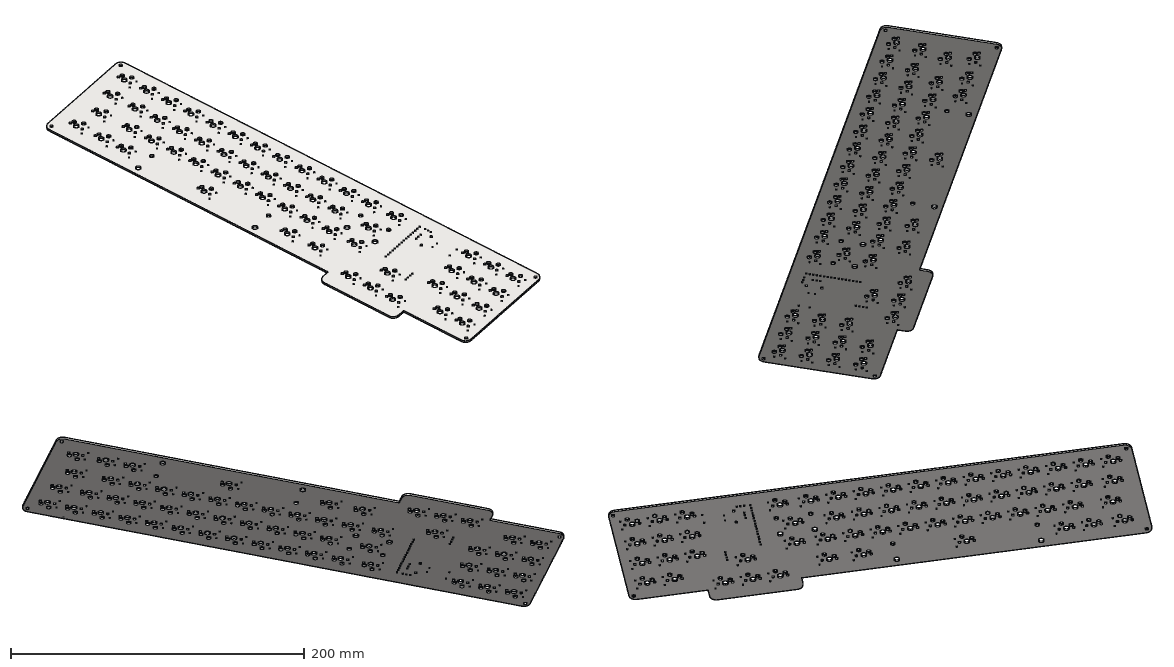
import cadquery as cq


plate_length = 362.5
plate_thickness = 1.6
keys_across = 18.5
main_rows = 4
tab_rows = 4.5
side_border = 5.0
row_border = side_border - 0.55
tab_border = side_border + 0.2
key_pitch = (plate_length - 2 * side_border) / keys_across
main_depth = main_rows * key_pitch + 2 * row_border
plate_depth = row_border + tab_rows * key_pitch + tab_border
corner_radius = 4.7
tab_left = 62.5
tab_right = 127.2

right = plate_length / 2
left = -right
back = plate_depth / 2
front = -back
main_front = back - main_depth

grid = 2.5

post_diameter = 4.0
socket_diameter = 3.0
locating_pin_diameter = 1.75
diode_lead_diameter = 0.9
small_stabilizer_diameter = 3.05
large_stabilizer_diameter = 4.0
screw_diameter = 2.2
header_pin_diameter = 1.0
peg_diameter = 1.75
crystal_lead_diameter = 0.7

first_row = [0.5 + key for key in range(12)] + [12.625]
second_row = [0.625] + [1.75 + key for key in range(10)] + [12.25]
third_row = [0.875] + [2.25 + key for key in range(10)] + [12.375]
fourth_row = [0.625, 1.75, 2.75, 6.375, 10.125, 11.375]
pad_columns = [16, 17, 18]
arrow_columns = [13.25, 14.25, 15.25]

key_rows = [
    (0, first_row + pad_columns),
    (1, second_row + pad_columns),
    (2, third_row + pad_columns),
    (2.5, [arrow_columns[1]]),
    (3, fourth_row + pad_columns[1:]),
    (3.5, arrow_columns),
]

stabilized_keys = [
    (second_row[-1], 1, 12.0),
    (fourth_row[3], 3, 50.0),
]

socket_offsets = [(-1.5 * grid, grid), (grid, 2 * grid)]
locating_pin_offsets = [(-2 * grid, 0), (2 * grid, 0)]
key_diode_offset = 3 * grid
small_stabilizer_offset = 2.75 * grid
large_stabilizer_offset = -3.25 * grid
diode_half_span = 1.5 * grid

left_screw_inset = 3.5
right_screw_inset = 3.3
screw_row_inset = 3.5

pin_headers = [
    (84.0, 37.0, 16, (0, -1)),
    (88.5, 37.5, 3, (1, 0)),
    (89.5, 30.8, 3, (0, -1)),
    (109.0, -4.0, 4, (0, -1)),
]

controller_y = 28.3
peg_x = 96.5
peg_half_span = 5.5
crystal_x = 103.5
crystal_half_span = 2.35
lone_diode_x = 118.0
lone_diode_y = 30.0


def key_center(column, row):
    """Centre of the key at a column and row given in key pitches."""
    x = left + side_border + column * key_pitch
    y = back - row_border - (row + 0.5) * key_pitch
    return x, y


def shifted(centers, offsets):
    """Every centre moved by every offset."""
    return [(x + dx, y + dy) for x, y in centers for dx, dy in offsets]


def vertical_pair(x, y, half_span):
    """Two points at the same X, above and below Y."""
    return [(x, y + half_span), (x, y - half_span)]


def plate_outline():
    """Outline of the main rectangle and the front tab, with rounded outer corners."""
    r = corner_radius
    return (
        cq.Workplane("XY")
        .moveTo(left + r, back)
        .lineTo(right - r, back)
        .radiusArc((right, back - r), r)
        .lineTo(right, main_front + r)
        .radiusArc((right - r, main_front), r)
        .lineTo(tab_right, main_front)
        .lineTo(tab_right, front + r)
        .radiusArc((tab_right - r, front), r)
        .lineTo(tab_left + r, front)
        .radiusArc((tab_left, front + r), r)
        .lineTo(tab_left, main_front)
        .lineTo(left + r, main_front)
        .radiusArc((left, main_front + r), r)
        .lineTo(left, back - r)
        .radiusArc((left + r, back), r)
        .close()
    )


def key_holes():
    """Switch, socket, locating pin and diode holes of every key."""
    keys = [key_center(column, row) for row, columns in key_rows for column in columns]
    diode_offsets = vertical_pair(key_diode_offset, 0, diode_half_span)
    return [
        (post_diameter, keys),
        (socket_diameter, shifted(keys, socket_offsets)),
        (locating_pin_diameter, shifted(keys, locating_pin_offsets)),
        (diode_lead_diameter, shifted(keys, diode_offsets)),
    ]


def stabilizer_holes():
    """Small rear and large front holes on both sides of each wide key."""
    small = []
    large = []
    for column, row, half_span in stabilized_keys:
        x, y = key_center(column, row)
        for side_x in (x - half_span, x + half_span):
            small.append((side_x, y + small_stabilizer_offset))
            large.append((side_x, y + large_stabilizer_offset))
    return [(small_stabilizer_diameter, small), (large_stabilizer_diameter, large)]


def screw_holes():
    """One hole in each corner of the main rectangle."""
    columns = (left + left_screw_inset, right - right_screw_inset)
    rows = (back - screw_row_inset, main_front + screw_row_inset)
    return [(screw_diameter, [(x, y) for x in columns for y in rows])]


def controller_holes():
    """Pin headers, pegs, crystal leads and the lone diode."""
    header_pins = [
        (x + pin * grid * step_x, y + pin * grid * step_y)
        for x, y, count, (step_x, step_y) in pin_headers
        for pin in range(count)
    ]
    return [
        (header_pin_diameter, header_pins),
        (peg_diameter, vertical_pair(peg_x, controller_y, peg_half_span)),
        (crystal_lead_diameter, vertical_pair(crystal_x, controller_y, crystal_half_span)),
        (diode_lead_diameter, vertical_pair(lone_diode_x, lone_diode_y, diode_half_span)),
    ]


profile = plate_outline()
for diameter, points in key_holes() + stabilizer_holes() + screw_holes() + controller_holes():
    profile = profile.pushPoints(points).circle(diameter / 2)
result = profile.extrude(plate_thickness)